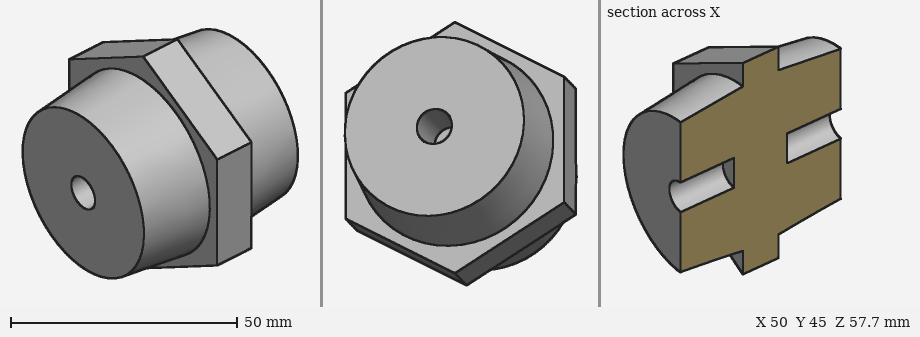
import cadquery as cq
import math

length = 45.0
hex_across_flats = 50.0
hex_thickness = 10.0

barrel_root_diameter = 45.0
barrel_end_diameter = 41.0

hole_diameter = 8.0
hole_depth = 15.0

hex_sides = 6
half_side_angle = 180 / hex_sides
hex_across_corners = hex_across_flats / math.cos(math.radians(half_side_angle))


def hex_collar():
    """Hexagonal prism centred on the origin, with corners pointing along +Z and -Z."""
    return (
        cq.Workplane("XZ")
        .polygon(hex_sides, hex_across_corners)
        .extrude(hex_thickness / 2, both=True)
        .rotate((0, 0, 0), (0, 1, 0), half_side_angle)
    )


def barrel(side):
    """Cone frustum from the collar to the end face; side is +1 for +Y and -1 for -Y."""
    collar_y = side * hex_thickness / 2
    end_y = side * length / 2
    profile = (
        cq.Workplane("YZ")
        .moveTo(collar_y, 0)
        .lineTo(collar_y, barrel_root_diameter / 2)
        .lineTo(end_y, barrel_end_diameter / 2)
        .lineTo(end_y, 0)
        .close()
    )
    return profile.revolve(360, (0, 0, 0), (1, 0, 0))


def end_hole(side):
    """Blind hole cutter entering from the end face on the given side."""
    hole = cq.Solid.makeCylinder(
        hole_diameter / 2,
        hole_depth,
        cq.Vector(0, side * length / 2, 0),
        cq.Vector(0, -side, 0),
    )
    return cq.Workplane(obj=hole)


result = hex_collar()
for side in (1, -1):
    result = result.union(barrel(side)).cut(end_hole(side))